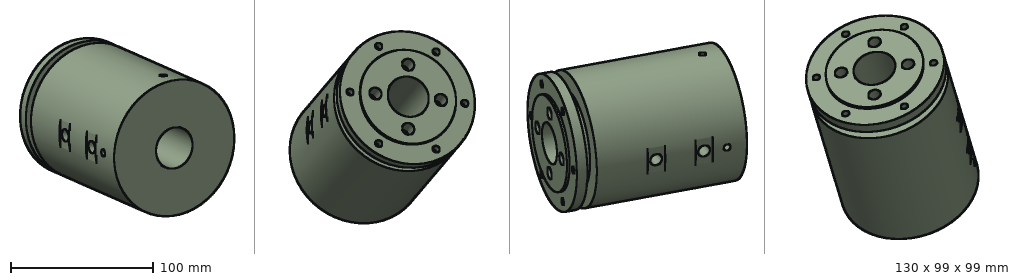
import cadquery as cq
import math

length = 130.0
body_diameter = 99.0
spigot_diameter = 70.0
spigot_length = 2.0
flange_end = 10.0
neck_diameter = 72.0
body_start = 17.0
bore_diameter = 30.0

port_diameter = 8.8
port_depth = 15.0
face_port_count = 4
face_port_circle_radius = 24.0
flat_width = 13.0
flat_depth = 1.0
first_port_x = 44.0
port_pitch = 18.0
back_port_positions = [first_port_x, first_port_x + 2 * port_pitch]
front_port_positions = [x + port_pitch for x in back_port_positions]

bolt_hole_diameter = 5.0
bolt_hole_count = 6
bolt_circle_radius = 42.0

screw_hole_diameter = 5.0
screw_hole_depth = 12.0
screw_hole_x = 115.0

drill_point_angle = 118.0

body_radius = body_diameter / 2
flat_distance = body_radius - flat_depth

AXIS = cq.Vector(1, 0, 0)
FRONT = cq.Vector(0, -1, 0)
BACK = cq.Vector(0, 1, 0)
TOP = cq.Vector(0, 0, 1)


def cylinder(start_x, end_x, diameter):
    """Cylinder on the part axis between two X positions."""
    return cq.Workplane("YZ", origin=(start_x, 0, 0)).circle(diameter / 2).extrude(end_x - start_x)


def drilled_hole(mouth, direction, diameter, depth):
    """Blind hole cutter with a conical drill point."""
    radius = diameter / 2
    tip_start = mouth + direction * depth
    shank = cq.Solid.makeCylinder(radius, depth, mouth, direction)
    tip_length = radius / math.tan(math.radians(drill_point_angle / 2))
    tip = cq.Solid.makeCone(radius, 0, tip_length, tip_start, direction)
    return cq.Workplane(shank.fuse(tip))


def turned_body():
    spigot = cylinder(0, spigot_length, spigot_diameter)
    flange = cylinder(spigot_length, flange_end, body_diameter)
    neck = cylinder(flange_end, body_start, neck_diameter)
    drum = cylinder(body_start, length, body_diameter)
    bore = cylinder(0, length, bore_diameter)
    return spigot.union(flange).union(neck).union(drum).cut(bore)


def cut_flange_bolt_holes(part):
    holes = (
        cq.Workplane("YZ")
        .polarArray(bolt_circle_radius, 0, 360, bolt_hole_count)
        .circle(bolt_hole_diameter / 2)
        .extrude(flange_end)
    )
    return part.cut(holes)


def cut_face_ports(part):
    for index in range(face_port_count):
        angle = index * 360 / face_port_count
        hole = drilled_hole(cq.Vector(0, face_port_circle_radius, 0), AXIS, port_diameter, port_depth)
        part = part.cut(hole.rotate((0, 0, 0), (1, 0, 0), angle))
    return part


def cut_side_port(part, x, outward):
    """Flat milled across the drum with a blind port at its centre."""
    flat_centre = outward * (flat_distance + flat_depth / 2) + AXIS * x
    flat = cq.Workplane().box(flat_width, flat_depth, body_diameter).translate(flat_centre)
    mouth = outward * flat_distance + AXIS * x
    port = drilled_hole(mouth, outward * -1, port_diameter, port_depth)
    return part.cut(flat).cut(port)


def cut_screw_hole(part, outward):
    mouth = outward * body_radius + AXIS * screw_hole_x
    return part.cut(drilled_hole(mouth, outward * -1, screw_hole_diameter, screw_hole_depth))


result = turned_body()
result = cut_flange_bolt_holes(result)
result = cut_face_ports(result)
for port_x in front_port_positions:
    result = cut_side_port(result, port_x, FRONT)
for port_x in back_port_positions:
    result = cut_side_port(result, port_x, BACK)
for side in (FRONT, TOP):
    result = cut_screw_hole(result, side)